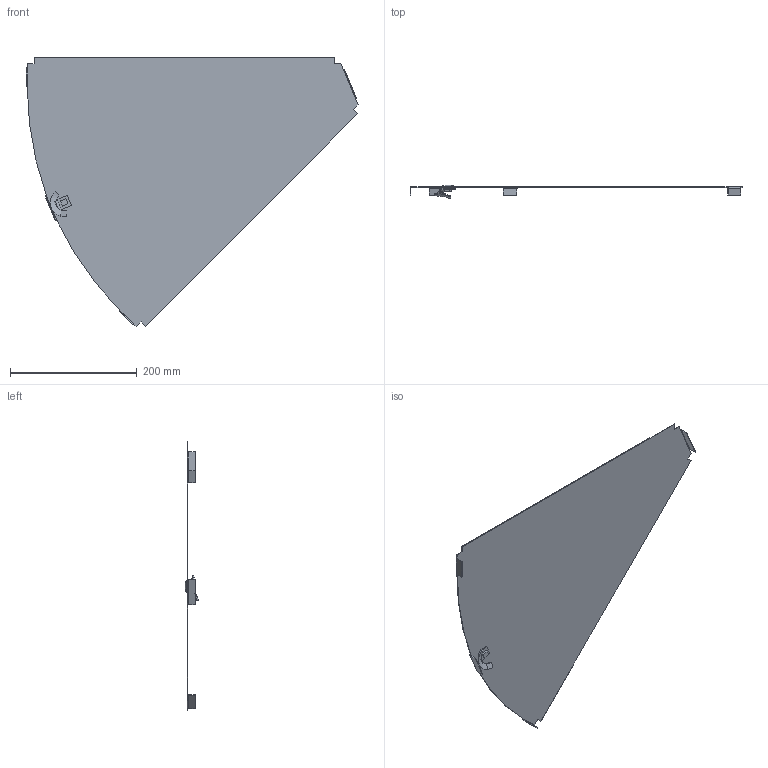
import cadquery as cq
import math


sheet = 1.0
sector_angle = 45.0
bisector_angle = 180 + sector_angle / 2
arc_radius = 500.0
small_end_offset = 10.0
corner_y = 36.55
strip_width = 9.95
strip_start_x = -489.3
strip_end_x = -14.4

bend_radius = 2.0
flange_height = 13.0
end_flange_length = 30.0
mid_flange_length = 42.0
small_flange_length = 50.0

lock_radius = 478.0
barrel_diameter = 16.5
head_diameter = 20.0
head_height = 3.0
head_rim_height = 1.5
head_crown = head_height - head_rim_height
dome_radius = ((head_diameter / 2) ** 2 + head_crown ** 2) / (2 * head_crown)
shaft_width = 9.0
shaft_top = 7.0

cam_thickness = 2.0
cam_base_width = 17.5
cam_base_bottom = 2.0
hook_inner_radius = 13.5
hook_outer_radius = 22.0
hook_start_angle = 128.0
hook_sweep_angle = 127.0
hook_start_bottom = 6.2
hook_rise = 4.6
hook_dish = 3.0
hook_thickness = 1.6
web_width = 14.0
web_overlap = 1.0
tab_start_x = -5.3
tab_end_x = 4.0
tab_top = 18.36


def mirrored(point):
    """Reflect a point across the bisector of the sector."""
    x, y = point
    c = math.cos(math.radians(sector_angle))
    s = math.sin(math.radians(sector_angle))
    return (x * c + y * s, x * s - y * c)


def on_bisector(radius):
    angle = math.radians(bisector_angle)
    return (radius * math.cos(angle), radius * math.sin(angle))


def make_flange(edge_point, outward_angle, length):
    """Flange with a rounded bend; edge_point is the middle of its bend line."""
    inner_radius = bend_radius - sheet
    return (
        cq.Workplane("XZ")
        .moveTo(-bend_radius, 0)
        .lineTo(0, 0)
        .radiusArc((bend_radius, bend_radius), -bend_radius)
        .lineTo(bend_radius, flange_height)
        .lineTo(inner_radius, flange_height)
        .lineTo(inner_radius, bend_radius)
        .radiusArc((0, sheet), inner_radius)
        .lineTo(-bend_radius, sheet)
        .close()
        .extrude(length / 2, both=True)
        .rotate((0, 0, 0), (0, 0, 1), outward_angle)
        .translate((edge_point[0], edge_point[1], 0))
    )


def make_panel():
    """Flat sector with strips along both straight edges, four flanges and the lock hole."""
    half_angle = math.radians(sector_angle / 2)
    small_corner_x = (small_end_offset - corner_y * math.sin(half_angle)) / math.cos(half_angle)
    strip_top = corner_y + strip_width
    upper_edge = [
        (-arc_radius, corner_y),
        (strip_start_x, corner_y),
        (strip_start_x, strip_top),
        (strip_end_x, strip_top),
        (strip_end_x, corner_y),
        (small_corner_x, corner_y),
    ]
    lower_edge = [mirrored(point) for point in reversed(upper_edge)]
    arc_start = (-arc_radius, 0)
    panel = (
        cq.Workplane("XY")
        .polyline([arc_start] + upper_edge + lower_edge + [mirrored(arc_start)])
        .threePointArc(on_bisector(arc_radius), arc_start)
        .close()
        .extrude(sheet)
    )
    end_middle = (-arc_radius, end_flange_length / 2)
    panel = panel.union(make_flange(end_middle, 180, end_flange_length))
    panel = panel.union(make_flange(mirrored(end_middle), 180 + sector_angle, end_flange_length))
    panel = panel.union(make_flange(on_bisector(arc_radius), bisector_angle, mid_flange_length))
    panel = panel.union(
        make_flange(on_bisector(-small_end_offset), bisector_angle - 180, small_flange_length)
    )
    barrel_hole = (
        cq.Workplane("XY")
        .center(*on_bisector(lock_radius))
        .circle(barrel_diameter / 2)
        .extrude(sheet)
    )
    return panel.cut(barrel_hole)


def make_shaft():
    """Square drive, aligned with the bisector, centred on the lock axis."""
    return (
        cq.Workplane("XY")
        .rect(shaft_width, shaft_width)
        .extrude(shaft_top)
        .rotate((0, 0, 0), (0, 0, 1), bisector_angle)
    )


def make_lock():
    """Domed head behind the sheet, barrel through it and square drive in front."""
    head = (
        cq.Workplane("XZ")
        .moveTo(0, 0)
        .lineTo(head_diameter / 2, 0)
        .lineTo(head_diameter / 2, -head_rim_height)
        .radiusArc((0, -head_height), dome_radius)
        .close()
        .revolve(360, (0, 0, 0), (0, 1, 0))
    )
    barrel = cq.Workplane("XY").circle(barrel_diameter / 2).extrude(cam_base_bottom)
    return head.union(barrel).union(make_shaft())


def hook_section(bottom):
    """Radius and height corners of the dished hook; bottom is the height of its inner edge."""
    return [
        (hook_inner_radius, bottom),
        (hook_outer_radius, bottom + hook_dish),
        (hook_outer_radius, bottom + hook_dish + hook_thickness),
        (hook_inner_radius, bottom + hook_thickness),
    ]


def make_hook():
    """Helical ramp curling around the lock axis."""
    pitch = hook_rise * 360 / hook_sweep_angle
    path = cq.Workplane(cq.Wire.makeHelix(pitch, hook_rise, hook_outer_radius))
    return (
        cq.Workplane("XZ")
        .polyline(hook_section(hook_start_bottom))
        .close()
        .sweep(path, isFrenet=True)
        .rotate((0, 0, 0), (0, 0, 1), hook_start_angle)
    )


def make_tab():
    """Straight lip that carries the hook section on along x."""
    start_bottom = hook_start_bottom + hook_rise
    end_bottom = tab_top - hook_dish - hook_thickness
    start_section = [(-radius, height) for radius, height in hook_section(start_bottom)]
    end_section = [(-radius, height) for radius, height in hook_section(end_bottom)]
    return (
        cq.Workplane("YZ", origin=(tab_start_x, 0, 0))
        .polyline(start_section)
        .close()
        .workplane(offset=tab_end_x - tab_start_x)
        .polyline(end_section)
        .close()
        .loft(ruled=True)
    )


def make_web():
    """Sloped strap from one side of the base up to the inner edge of the hook."""
    turned_angle = bisector_angle - hook_start_angle
    hook_bottom = hook_start_bottom + hook_rise * turned_angle / hook_sweep_angle
    base_edge = cam_base_width / 2
    web_end = hook_inner_radius + web_overlap
    return (
        cq.Workplane("XZ")
        .polyline([
            (base_edge - web_overlap, cam_base_bottom),
            (base_edge + web_overlap, cam_base_bottom),
            (web_end, hook_bottom),
            (web_end, hook_bottom + hook_thickness),
            (hook_inner_radius - web_overlap, hook_bottom + hook_thickness),
            (base_edge, cam_base_bottom + cam_thickness),
            (base_edge - web_overlap, cam_base_bottom + cam_thickness),
        ])
        .close()
        .extrude(web_width / 2, both=True)
    )


def make_cam():
    """Square base around the drive, joined by a web to the curling hook and its tab."""
    base = (
        cq.Workplane("XY")
        .workplane(offset=cam_base_bottom)
        .rect(cam_base_width, cam_base_width)
        .extrude(cam_thickness)
    )
    bracket = base.union(make_web()).rotate((0, 0, 0), (0, 0, 1), bisector_angle)
    return bracket.union(make_hook()).union(make_tab()).cut(make_shaft())


def stand_up(body):
    return body.rotate((0, 0, 0), (1, 0, 0), 90)


lock_x, lock_y = on_bisector(lock_radius)
panel = stand_up(make_panel())
lock = stand_up(make_lock().translate((lock_x, lock_y, 0)))
cam = stand_up(make_cam().translate((lock_x, lock_y, 0)))

result = cq.Compound.makeCompound([panel.val(), lock.val(), cam.val()])